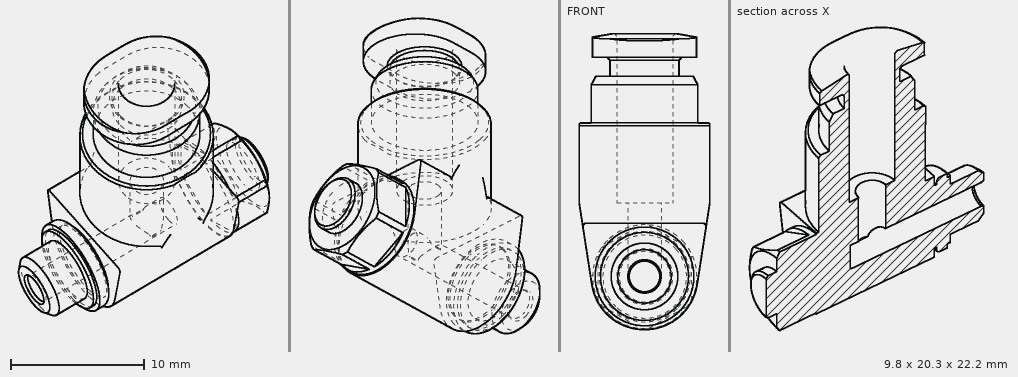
import cadquery as cq
import math


body_width = 9.8
block_round_radius = 4.0
block_front_y = -5.8
block_back_y = 5.2
block_top_z = 4.0
block_edge_fillet = 0.3
taper_start_z = 5.5
socket_radius = 5.0
socket_top_z = 11.5
socket_chamfer = 0.2

sleeve_radius = 4.0
sleeve_top_z = 15.0
sleeve_bevel_height = 0.65
sleeve_bevel_width = 0.35
neck_radius = 2.6
neck_flare = 0.2

button_bottom_z = 16.4
part_top_z = 18.19
button_end_radius = 3.9
button_length = 9.8
button_top_angle = 10.0
button_rim_radius = 4.7
button_rim_drop = 0.15

tube_radius = 2.1
tube_lip_fillet = 0.3
tube_stop_z = taper_start_z
port_radius = 1.25

collar_radius = 3.125
collar_length = 0.2
seal_radius = 3.7
seal_length = 1.0
seal_fillet = 0.35
shoulder_radius = 3.3
shoulder_length = 0.3
thread_radius = 2.5
thread_length = 3.1
thread_chamfer = 0.5
bore_radius = 1.15
bore_mouth_radius = 1.25
bore_mouth_depth = 0.25
bore_end_y = 2.0

flange_radius = 3.9
flange_length = 0.5
nut_across_flats = 7.0
nut_length = 3.2
nut_sides = 6
nut_face_radius = 3.4
nut_bevel_angle = 30.0
tip_radius = 2.1
tip_length = 1.0
tip_chamfer = 0.2

half_width = body_width / 2
seal_back_y = block_front_y - collar_length
seal_front_y = seal_back_y - seal_length
shoulder_front_y = seal_front_y - shoulder_length
part_front_y = shoulder_front_y - thread_length
flange_back_y = block_back_y + flange_length
nut_back_y = flange_back_y + nut_length
part_back_y = nut_back_y + tip_length


def disc_y(radius, y_start, y_end):
    """Cylinder on the Y axis between two Y positions."""
    return cq.Workplane("XZ", origin=(0, y_start, 0)).circle(radius).extrude(y_start - y_end)


def disc_z(radius, z_start, z_end):
    """Cylinder on the Z axis between two Z positions."""
    return cq.Workplane("XY", origin=(0, 0, z_start)).circle(radius).extrude(z_end - z_start)


def tapered_prism(top_z):
    """Full-length prism: round bottom, flanks tangent to it widening to the body width."""
    is_full_width = top_z > taper_start_z
    corner_distance = math.hypot(half_width, taper_start_z)
    taper = math.acos(block_round_radius / corner_distance) - math.atan2(taper_start_z, half_width)
    tangent_x = block_round_radius * math.cos(taper)
    tangent_z = -block_round_radius * math.sin(taper)
    if is_full_width:
        flank_top = (half_width, taper_start_z)
    else:
        flank_top = ((block_round_radius + top_z * math.sin(taper)) / math.cos(taper), top_z)
    outline = (
        cq.Workplane("XZ", origin=(0, block_back_y, 0))
        .moveTo(tangent_x, tangent_z)
        .threePointArc((0, -block_round_radius), (-tangent_x, tangent_z))
        .lineTo(-flank_top[0], flank_top[1])
    )
    if is_full_width:
        outline = outline.lineTo(-half_width, top_z).lineTo(half_width, top_z)
    outline = outline.lineTo(*flank_top).close()
    return outline.extrude(block_back_y - block_front_y)


def make_body():
    block = tapered_prism(block_top_z).faces(">Z").edges("|Y").fillet(block_edge_fillet)
    socket = disc_z(socket_radius, 0, socket_top_z).faces(">Z").chamfer(socket_chamfer)
    return block.union(socket.intersect(tapered_prism(socket_top_z)))


def make_sleeve():
    sleeve = disc_z(sleeve_radius, block_top_z, sleeve_top_z)
    sleeve = sleeve.faces(">Z").chamfer(sleeve_bevel_height, sleeve_bevel_width)
    neck = disc_z(neck_radius, sleeve_top_z, button_bottom_z)
    flare = cq.Solid.makeCone(
        neck_radius,
        neck_radius + neck_flare,
        neck_flare,
        pnt=cq.Vector(0, 0, button_bottom_z - neck_flare),
    )
    return sleeve.union(neck).union(cq.Workplane(flare))


def make_button():
    """Oblong plate trimmed on top by a shallow cone with a steeper outer rim."""
    lip_radius = tube_radius + tube_lip_fillet
    rim_z = part_top_z - (button_rim_radius - lip_radius) * math.tan(math.radians(button_top_angle))
    outer_radius = button_length / 2
    envelope = (
        cq.Workplane("XZ")
        .moveTo(0, button_bottom_z)
        .lineTo(outer_radius, button_bottom_z)
        .lineTo(outer_radius, rim_z - button_rim_drop)
        .lineTo(button_rim_radius, rim_z)
        .lineTo(lip_radius, part_top_z)
        .lineTo(0, part_top_z)
        .close()
        .revolve(360, (0, 0), (0, 1))
    )
    plate = (
        cq.Workplane("XY", origin=(0, 0, button_bottom_z))
        .slot2D(button_length, 2 * button_end_radius, 90)
        .extrude(part_top_z - button_bottom_z)
    )
    return plate.intersect(envelope)


def make_threaded_end():
    collar = disc_y(collar_radius, 0, seal_back_y)
    seal = disc_y(seal_radius, seal_back_y, seal_front_y).faces(">Y").edges().fillet(seal_fillet)
    shoulder = disc_y(shoulder_radius, seal_front_y, shoulder_front_y)
    thread = disc_y(thread_radius, shoulder_front_y, part_front_y)
    thread = thread.faces("<Y").chamfer(thread_chamfer)
    return collar.union(seal).union(shoulder).union(thread)


def make_nut_end():
    flange = disc_y(flange_radius, 0, flange_back_y)
    bevel_width = flange_radius - nut_face_radius
    bevel_height = bevel_width * math.tan(math.radians(nut_bevel_angle))
    blank = disc_y(flange_radius, flange_back_y, nut_back_y)
    blank = blank.faces(">Y").chamfer(bevel_height, bevel_width)
    hexagon = (
        cq.Workplane("XZ", origin=(0, flange_back_y, 0))
        .polygon(nut_sides, nut_across_flats, circumscribed=True)
        .extrude(-nut_length)
    )
    tip = disc_y(tip_radius, nut_back_y, part_back_y).faces(">Y").chamfer(tip_chamfer)
    return flange.union(hexagon.intersect(blank)).union(tip)


def make_tube_passage():
    """Stepped vertical hole with a rounded lip, ending on the bolt axis."""
    lip_start_z = part_top_z - tube_lip_fillet
    lip_reach = tube_lip_fillet * (1 - math.cos(math.pi / 4))
    lip_middle = (tube_radius + lip_reach, part_top_z - lip_reach)
    return (
        cq.Workplane("XZ")
        .lineTo(port_radius, 0)
        .lineTo(port_radius, tube_stop_z)
        .lineTo(tube_radius, tube_stop_z)
        .lineTo(tube_radius, lip_start_z)
        .threePointArc(lip_middle, (tube_radius + tube_lip_fillet, part_top_z))
        .lineTo(0, part_top_z)
        .close()
        .revolve(360, (0, 0), (0, 1))
    )


def make_bolt_bore():
    """Blind bore along the bolt with a slightly flared mouth."""
    return (
        cq.Workplane("XY")
        .moveTo(0, part_front_y)
        .lineTo(bore_mouth_radius, part_front_y)
        .lineTo(bore_radius, part_front_y + bore_mouth_depth)
        .lineTo(bore_radius, bore_end_y)
        .lineTo(0, bore_end_y)
        .close()
        .revolve(360, (0, 0), (0, 1))
    )


result = make_body()
for feature in (make_sleeve(), make_button(), make_threaded_end(), make_nut_end()):
    result = result.union(feature)
result = result.cut(make_tube_passage()).cut(make_bolt_bore())